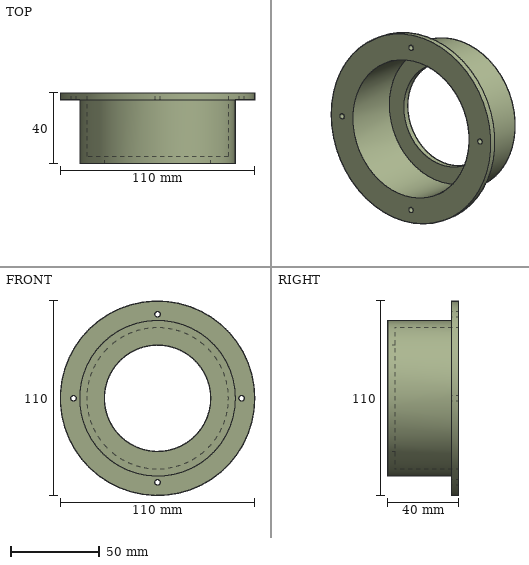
import cadquery as cq

total_length = 40.0
flange_diameter = 110.0
flange_thickness = 4.0
barrel_diameter = 88.0
opening_diameter = 60.0
bore_diameter = 80.0
lip_thickness = 4.0

hole_diameter = 3.0
hole_circle_diameter = 95.0
hole_count = 4

barrel_length = total_length - flange_thickness


def disc(diameter, start_y, length):
    """Solid cylinder along +Y, starting at start_y."""
    plane = cq.Workplane("XZ", origin=(0, start_y, 0))
    return plane.circle(diameter / 2).extrude(-length)


def flanged_barrel():
    """Barrel from Y = 0 with the flange at its far end."""
    barrel = disc(barrel_diameter, 0, total_length)
    flange = disc(flange_diameter, barrel_length, flange_thickness)
    return barrel.union(flange)


def stepped_bore():
    """Opening through the front lip and the wider bore behind it."""
    opening = disc(opening_diameter, 0, total_length)
    bore = disc(bore_diameter, lip_thickness, total_length - lip_thickness)
    return opening.union(bore)


def mounting_holes():
    """Evenly spaced holes through the flange."""
    return (
        cq.Workplane("XZ", origin=(0, barrel_length, 0))
        .polarArray(hole_circle_diameter / 2, 0, 360, hole_count)
        .circle(hole_diameter / 2)
        .extrude(-flange_thickness)
    )


result = flanged_barrel().cut(stepped_bore()).cut(mounting_holes())